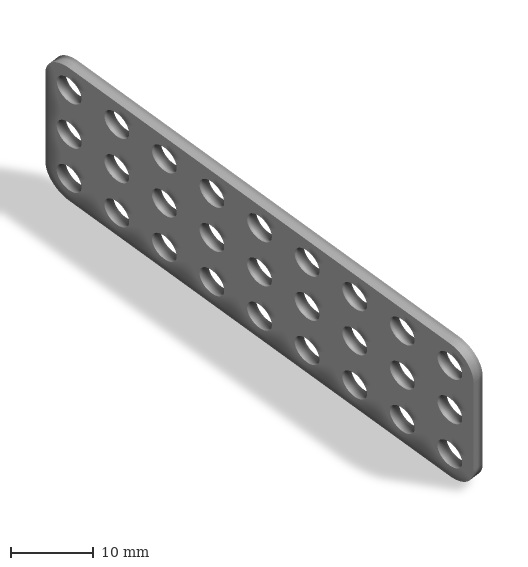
import cadquery as cq

length = 72.0
thickness = 1.6
columns = 9
rows = 3
hole_diameter = 4.2

pitch = length / columns
height = rows * pitch
corner_radius = pitch / 2

plate = (
    cq.Workplane("XY")
    .box(length, thickness, height)
    .edges("|Y")
    .fillet(corner_radius)
)

result = (
    plate.faces("<Y")
    .workplane(centerOption="CenterOfBoundBox")
    .rarray(pitch, pitch, columns, rows)
    .hole(hole_diameter)
)